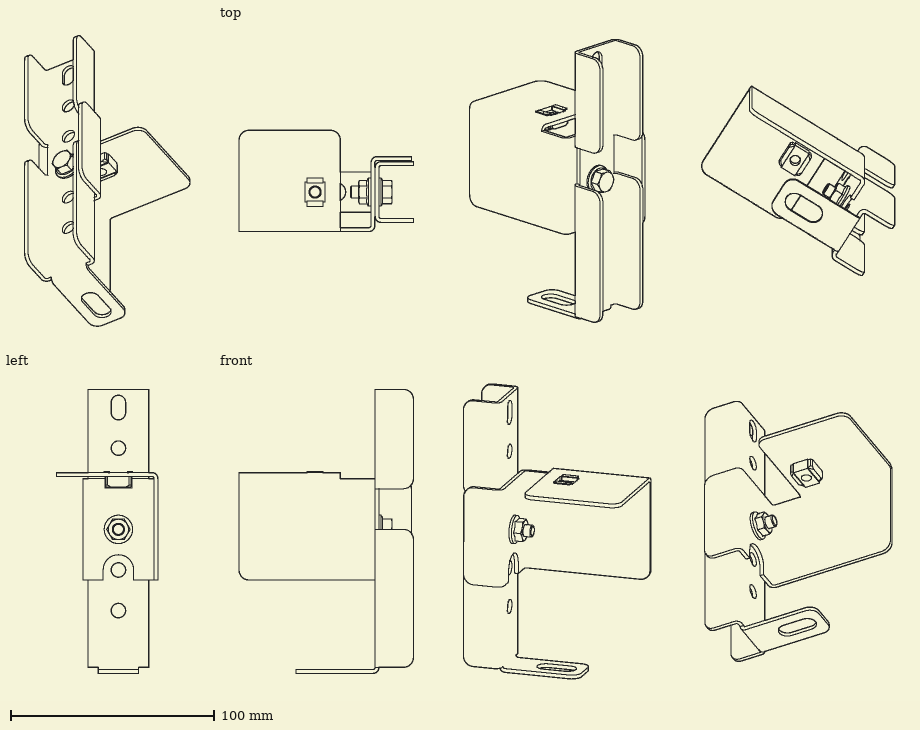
import cadquery as cq
import math

SHEET = 2.0
BEND_INNER = 1.0
BEND_OUTER = BEND_INNER + SHEET
CORNER_R = 5.0

RAIL_FACE_X = 67.0
RAIL_WEB_BACK_X = RAIL_FACE_X + SHEET
RAIL_END_X = 86.0
RAIL_WIDTH = 30.0
RAIL_HEIGHT = 140.0
RAIL_GAP_BOTTOM = 71.0
RAIL_GAP_TOP = 91.0
RAIL_HOLE_DIA = 7.0
RAIL_HOLE_PITCH = 20.0
RAIL_HOLE_COUNT = 5
RAIL_LOWEST_HOLE_Z = 31.0
RAIL_SLOT_Z = RAIL_LOWEST_HOLE_Z + RAIL_HOLE_COUNT * RAIL_HOLE_PITCH
RAIL_SLOT_LENGTH = 12.0
FOOT_TIP_X = 28.0
FOOT_WIDTH = 20.0
FOOT_SLOT_WIDTH = 9.0
FOOT_SLOT_LENGTH = 20.0
FOOT_SLOT_X = 42.5

BRACKET_FRONT_Y = -19.5
BRACKET_BACK_Y = 17.5
BRACKET_WEB_X = RAIL_FACE_X - SHEET
BRACKET_FLANGE_END_X = 85.0
BRACKET_BOTTOM = 46.0
BRACKET_SIDE_HEIGHT = 50.0
BRACKET_SIDE_TOP = BRACKET_BOTTOM + BRACKET_SIDE_HEIGHT
SHELF_TOP = BRACKET_SIDE_TOP + BEND_OUTER
SHELF_UNDERSIDE = SHELF_TOP - SHEET
SHELF_LENGTH = 50.0
SHELF_DEPTH = 50.0
SHELF_BACK_Y = BRACKET_FRONT_Y + SHELF_DEPTH
NOTCH_WIDTH = 15.0
NOTCH_CENTER_Z = RAIL_LOWEST_HOLE_Z + RAIL_HOLE_PITCH
CAGE_WINDOW = 9.8
CAGE_X = 37.5

THREAD_DIA = 6.0
THREAD_CHAMFER = 0.5
BOLT_Z = RAIL_LOWEST_HOLE_Z + 2 * RAIL_HOLE_PITCH
BOLT_TIP_X = 55.0
HEX_FLATS = 10.0
HEX_CORNERS = HEX_FLATS / math.cos(math.pi / 6)
HEX_CHAMFER_DEPTH = (HEX_CORNERS - HEX_FLATS) / 2 * math.tan(math.pi / 6)
FLANGE_DIA = 14.0
HEAD_HEIGHT = 6.5
HEAD_RIM = 0.9
HEAD_FLANGE = 1.7
HEAD_TAPER_DIA = 12.0
NUT_HEIGHT = 6.0
NUT_RIM = 1.3
NUT_FLANGE = 2.2
NUT_TAPER_DIA = HEX_FLATS

CAGE_SHEET = 0.5
CAGE_STRIP_WIDTH = 8.0
CAGE_EAR_SPAN = 14.0
CAGE_OUTER_WIDTH = 13.2
CAGE_HEIGHT = 5.7
CAGE_BOTTOM = SHELF_UNDERSIDE - CAGE_HEIGHT
CAGE_NUT_WIDTH = CAGE_OUTER_WIDTH - 2 * CAGE_SHEET
CAGE_NUT_CORNER = 0.8
CAGE_NUT_SEAT_DIA = 14.2
CAGE_THREAD_BORE = 5.0


def box(x_range, y_range, z_range):
    """Block spanning the given ranges along each axis."""
    (x0, x1), (y0, y1), (z0, z1) = x_range, y_range, z_range
    return cq.Workplane("XY").box(x1 - x0, y1 - y0, z1 - z0, centered=False).translate((x0, y0, z0))


def span(width, center=0.0):
    """Range of the given width about a center."""
    return (center - width / 2, center + width / 2)


def round_edge(body, point, radius):
    """Fillet the one edge whose middle lies nearest the point."""
    return body.edges(cq.selectors.NearestToPointSelector(point)).fillet(radius)


def make_foot():
    """Strip continuing the web downward and bent toward -X, with a slot."""
    top_in_web = BEND_OUTER + SHEET
    foot = (
        cq.Workplane("XZ", origin=(0, FOOT_WIDTH / 2, 0))
        .moveTo(FOOT_TIP_X, 0)
        .lineTo(RAIL_WEB_BACK_X, 0)
        .lineTo(RAIL_WEB_BACK_X, top_in_web)
        .lineTo(RAIL_FACE_X, top_in_web)
        .lineTo(RAIL_FACE_X, SHEET)
        .lineTo(FOOT_TIP_X, SHEET)
        .close()
        .extrude(FOOT_WIDTH)
    )
    foot = round_edge(foot, (RAIL_WEB_BACK_X, 0, 0), BEND_OUTER)
    foot = round_edge(foot, (RAIL_FACE_X, 0, SHEET), BEND_INNER)
    foot = foot.edges("|Z and <X").fillet(CORNER_R)
    slot = (
        cq.Workplane("XY")
        .center(FOOT_SLOT_X, 0)
        .slot2D(FOOT_SLOT_LENGTH, FOOT_SLOT_WIDTH)
        .extrude(SHEET)
    )
    return foot.cut(slot)


def make_rail():
    rail_z = (BEND_OUTER, RAIL_HEIGHT)
    outer = box((RAIL_FACE_X, RAIL_END_X), span(RAIL_WIDTH), rail_z)
    outer = outer.edges("|Z and <X").fillet(BEND_OUTER)
    inner = box((RAIL_WEB_BACK_X, RAIL_END_X), span(RAIL_WIDTH - 2 * SHEET), rail_z)
    inner = inner.edges("|Z and <X").fillet(BEND_INNER)
    rail = outer.cut(inner)

    web_flat_width = RAIL_WIDTH - 2 * BEND_OUTER
    gap_z = (RAIL_GAP_BOTTOM, RAIL_GAP_TOP)
    gap = box((RAIL_FACE_X, RAIL_END_X), span(RAIL_WIDTH), gap_z)
    gap = gap.cut(box((RAIL_FACE_X, RAIL_WEB_BACK_X), span(web_flat_width), gap_z))
    rail = rail.cut(gap)
    rail = rail.edges("|Y and >X").fillet(CORNER_R)

    hole_points = [
        (0, RAIL_LOWEST_HOLE_Z + i * RAIL_HOLE_PITCH) for i in range(RAIL_HOLE_COUNT)
    ]
    web_plane = cq.Workplane("YZ", origin=(RAIL_FACE_X, 0, 0))
    holes = web_plane.pushPoints(hole_points).circle(RAIL_HOLE_DIA / 2).extrude(SHEET)
    slot = (
        web_plane.center(0, RAIL_SLOT_Z)
        .slot2D(RAIL_SLOT_LENGTH, RAIL_HOLE_DIA, angle=90)
        .extrude(SHEET)
    )
    return rail.cut(holes).cut(slot).union(make_foot())


def make_bracket_sides():
    """Z-shaped strip: side plate toward -X, web, short flange toward +X."""
    mid_z = BRACKET_BOTTOM + BRACKET_SIDE_HEIGHT / 2
    inner_front_y = BRACKET_FRONT_Y + SHEET
    inner_back_y = BRACKET_BACK_Y - SHEET
    strip = (
        cq.Workplane("XY", origin=(0, 0, BRACKET_BOTTOM))
        .moveTo(0, BRACKET_FRONT_Y)
        .lineTo(RAIL_FACE_X, BRACKET_FRONT_Y)
        .lineTo(RAIL_FACE_X, inner_back_y)
        .lineTo(BRACKET_FLANGE_END_X, inner_back_y)
        .lineTo(BRACKET_FLANGE_END_X, BRACKET_BACK_Y)
        .lineTo(BRACKET_WEB_X, BRACKET_BACK_Y)
        .lineTo(BRACKET_WEB_X, inner_front_y)
        .lineTo(0, inner_front_y)
        .close()
        .extrude(BRACKET_SIDE_HEIGHT)
    )
    strip = round_edge(strip, (RAIL_FACE_X, BRACKET_FRONT_Y, mid_z), BEND_OUTER)
    strip = round_edge(strip, (BRACKET_WEB_X, inner_front_y, mid_z), BEND_INNER)
    strip = round_edge(strip, (BRACKET_WEB_X, BRACKET_BACK_Y, mid_z), BEND_OUTER)
    strip = round_edge(strip, (RAIL_FACE_X, inner_back_y, mid_z), BEND_INNER)
    return strip.edges("|Y and >X").fillet(CORNER_R)


def make_shelf():
    """L-shaped strip: the side plate bent over at its top into a level shelf."""
    shelf_x = (0, SHELF_LENGTH)
    outer = box(shelf_x, (BRACKET_FRONT_Y, SHELF_BACK_Y), (BRACKET_BOTTOM, SHELF_TOP))
    outer = outer.edges("|X and <Y and >Z").fillet(BEND_OUTER)
    inner = box(
        shelf_x, (BRACKET_FRONT_Y + SHEET, SHELF_BACK_Y), (BRACKET_BOTTOM, SHELF_UNDERSIDE)
    )
    inner = inner.edges("|X and <Y and >Z").fillet(BEND_INNER)
    shelf = outer.cut(inner).edges("|Z and >Y").fillet(CORNER_R)
    window = box(
        span(CAGE_WINDOW, CAGE_X), span(CAGE_WINDOW), (SHELF_UNDERSIDE, SHELF_TOP)
    )
    return shelf.cut(window)


def make_bracket():
    bracket = make_bracket_sides().union(make_shelf())
    bracket = round_edge(bracket, (0, BRACKET_FRONT_Y + SHEET / 2, BRACKET_BOTTOM), CORNER_R)

    web_plane = cq.Workplane("YZ", origin=(BRACKET_WEB_X, 0, 0))
    bolt_hole = web_plane.center(0, BOLT_Z).circle(RAIL_HOLE_DIA / 2).extrude(SHEET)
    notch_top = web_plane.center(0, NOTCH_CENTER_Z).circle(NOTCH_WIDTH / 2).extrude(SHEET)
    notch = box(
        (BRACKET_WEB_X, RAIL_FACE_X), span(NOTCH_WIDTH), (BRACKET_BOTTOM, NOTCH_CENTER_Z)
    )
    return bracket.cut(bolt_hole).cut(notch_top).cut(notch)


def make_flanged_hex(height, rim, flange, taper_dia):
    """Hexagon on a tapered round flange, seated on z = 0 and rising along +Z."""
    disc = cq.Workplane("XY").circle(FLANGE_DIA / 2).extrude(rim)
    taper = (
        cq.Workplane("XY", origin=(0, 0, rim))
        .circle(FLANGE_DIA / 2)
        .workplane(offset=flange - rim)
        .circle(taper_dia / 2)
        .loft()
    )
    hexagon = cq.Workplane("XY").polygon(6, HEX_CORNERS).extrude(height)
    corner_trim = (
        cq.Workplane("XZ")
        .moveTo(0, 0)
        .lineTo(HEX_CORNERS / 2, 0)
        .lineTo(HEX_CORNERS / 2, height - HEX_CHAMFER_DEPTH)
        .lineTo(HEX_FLATS / 2, height)
        .lineTo(0, height)
        .close()
        .revolve(360, (0, 0, 0), (0, 1, 0))
    )
    return disc.union(taper).union(hexagon.intersect(corner_trim))


def along_x(body, seat_x, direction):
    """Turn a body built along +Z to point along +X (1) or -X (-1), seated on the bolt axis."""
    quarter = body.rotate((0, 0, 0), (0, 0, 1), 90).rotate((0, 0, 0), (0, 1, 0), direction * 90)
    return quarter.translate((seat_x, 0, BOLT_Z))


def make_bolt():
    head = make_flanged_hex(HEAD_HEIGHT, HEAD_RIM, HEAD_FLANGE, HEAD_TAPER_DIA)
    head = along_x(head, RAIL_WEB_BACK_X, 1)
    shank = (
        cq.Workplane("YZ", origin=(BOLT_TIP_X, 0, BOLT_Z))
        .circle(THREAD_DIA / 2)
        .extrude(RAIL_WEB_BACK_X - BOLT_TIP_X)
        .faces("<X")
        .chamfer(THREAD_CHAMFER)
    )
    return head.union(shank)


def make_nut():
    blank = make_flanged_hex(NUT_HEIGHT, NUT_RIM, NUT_FLANGE, NUT_TAPER_DIA)
    bore = cq.Workplane("XY").circle(THREAD_DIA / 2).extrude(NUT_HEIGHT)
    return along_x(blank.cut(bore), BRACKET_WEB_X, -1)


def make_cage_nut():
    strip_x = span(CAGE_STRIP_WIDTH, CAGE_X)
    floor_top = CAGE_BOTTOM + CAGE_SHEET
    cage = box(strip_x, span(CAGE_OUTER_WIDTH), (CAGE_BOTTOM, SHELF_UNDERSIDE))

    block = box(
        span(CAGE_NUT_WIDTH, CAGE_X), span(CAGE_NUT_WIDTH), (floor_top, SHELF_UNDERSIDE)
    )
    block = block.edges("|Z").chamfer(CAGE_NUT_CORNER)
    block_height = SHELF_UNDERSIDE - floor_top
    corner_cone = (
        cq.Workplane("XY", origin=(CAGE_X, 0, floor_top))
        .circle(CAGE_NUT_SEAT_DIA / 2)
        .workplane(offset=block_height)
        .circle(CAGE_NUT_SEAT_DIA / 2 + block_height)
        .loft()
    )
    cage = cage.union(block.intersect(corner_cone))

    for side in (-1, 1):
        window_edge = side * CAGE_WINDOW / 2
        inner_edge = window_edge - side * CAGE_SHEET
        ear_tip = side * CAGE_EAR_SPAN / 2
        hook_top = SHELF_TOP + CAGE_SHEET
        riser = box(strip_x, sorted((inner_edge, window_edge)), (SHELF_UNDERSIDE, hook_top))
        ear = box(strip_x, sorted((inner_edge, ear_tip)), (SHELF_TOP, hook_top))
        cage = cage.union(riser).union(ear)

    bore = (
        cq.Workplane("XY", origin=(CAGE_X, 0, CAGE_BOTTOM))
        .circle(CAGE_THREAD_BORE / 2)
        .extrude(CAGE_HEIGHT)
    )
    countersink_depth = (THREAD_DIA - CAGE_THREAD_BORE) / 2
    countersink = (
        cq.Workplane("XY", origin=(CAGE_X, 0, SHELF_UNDERSIDE - countersink_depth))
        .circle(CAGE_THREAD_BORE / 2)
        .workplane(offset=countersink_depth)
        .circle(THREAD_DIA / 2)
        .loft()
    )
    return cage.cut(bore).cut(countersink)


rail = make_rail()
bracket = make_bracket()
bolt = make_bolt()
nut = make_nut()
cage_nut = make_cage_nut()

result = cq.Compound.makeCompound(
    [rail.val(), bracket.val(), bolt.val(), nut.val(), cage_nut.val()]
)